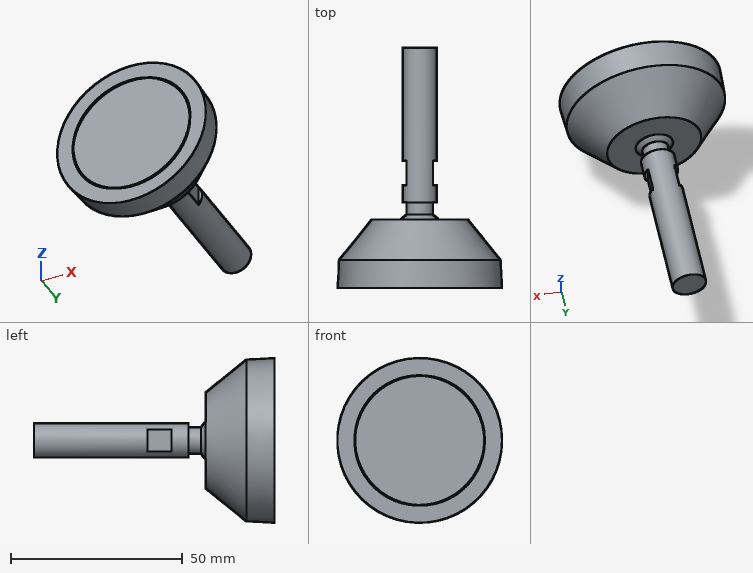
import cadquery as cq
import math


base_diameter = 48.0
base_height = 20.0
rim_height = 8.2
rim_draft_angle = 3.0
base_top_diameter = 28.0
groove_inner_diameter = 37.5
groove_outer_diameter = 38.0
groove_depth = 0.5

total_length = 70.0
stem_diameter = 10.0
neck_diameter = 7.8
shoulder_height = 25.0
ball_diameter = 15.0
ball_height = 15.0
flats_start = 30.0
flats_length = 7.0
across_flats = neck_diameter

base_radius = base_diameter / 2
rim_top_radius = base_radius - rim_height * math.tan(math.radians(rim_draft_angle))


def cylinder(diameter, start, end):
    """Round bar along Y between two heights."""
    return cq.Workplane("XZ", origin=(0, start, 0)).circle(diameter / 2).extrude(start - end)


def make_ball():
    return cq.Workplane("XY").sphere(ball_diameter / 2).translate((0, ball_height, 0))


def make_base():
    profile = (
        cq.Workplane("XY")
        .lineTo(base_radius, 0)
        .lineTo(rim_top_radius, rim_height)
        .lineTo(base_top_diameter / 2, base_height)
        .lineTo(0, base_height)
        .close()
    )
    body = profile.revolve(360, (0, 0, 0), (0, 1, 0))

    groove = cylinder(groove_outer_diameter, 0, groove_depth).cut(
        cylinder(groove_inner_diameter, 0, groove_depth)
    )

    return body.cut(groove).cut(make_ball())


def make_stem():
    neck = cylinder(neck_diameter, ball_height, shoulder_height)
    shank = cylinder(stem_diameter, shoulder_height, total_length)
    stem = make_ball().union(neck).union(shank)

    flat_depth = (stem_diameter - across_flats) / 2
    flat_center_x = across_flats / 2 + flat_depth / 2
    flat_center_y = flats_start + flats_length / 2
    for side in (-1, 1):
        cutter = cq.Workplane("XY").box(flat_depth, flats_length, stem_diameter)
        stem = stem.cut(cutter.translate((side * flat_center_x, flat_center_y, 0)))
    return stem


base = make_base()
stem = make_stem()

result = cq.Compound.makeCompound([base.solids().val(), stem.solids().val()])